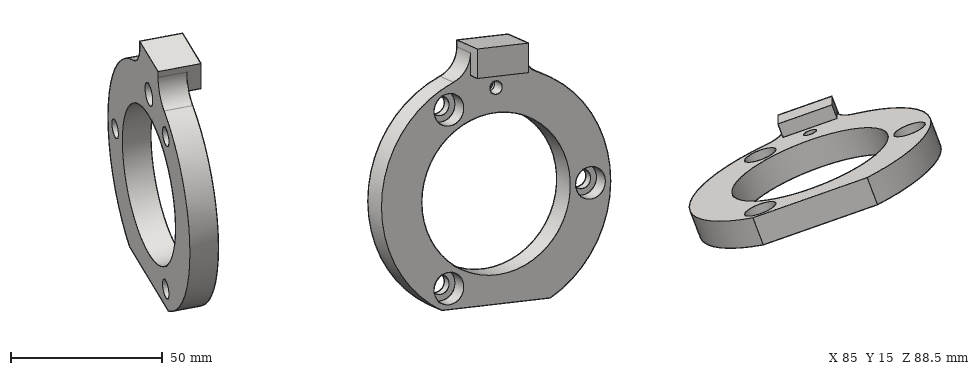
import cadquery as cq
import math

thickness = 10.0
outer_radius = 42.5
bore_diameter = 55.0
flat_z = -37.4

total_height = 88.5
tab_top_z = flat_z + total_height
tab_width = 19.0
lip_height = 10.0
tab_depth = 15.0
fillet_radius = 10.0

mount_hole_diameter = 6.6
mount_recess_diameter = 11.0
mount_recess_depth = 6.5
mount_circle_radius = 35.0
mount_angles = (60, 180, 300)
screw_hole_diameter = 4.5
screw_head_diameter = 8.0
screw_head_depth = 4.5
screw_z = 35.9

half_tab = tab_width / 2
blend_x = half_tab + fillet_radius
center_distance = outer_radius + fillet_radius
blend_z = math.sqrt(center_distance**2 - blend_x**2)
rim_x = blend_x * outer_radius / center_distance
rim_z = blend_z * outer_radius / center_distance
blend_mid_angle = (2 * math.pi + math.atan2(blend_z, blend_x)) / 2
blend_mid_x = blend_x + fillet_radius * math.cos(blend_mid_angle)
blend_mid_z = blend_z + fillet_radius * math.sin(blend_mid_angle)
flat_half_width = math.sqrt(outer_radius**2 - flat_z**2)


def front_plane():
    """XZ sketch plane; negative extrusion distances run toward +Y."""
    return cq.Workplane("XZ")


def cylinder(x, z, diameter, depth, start_y=0.0):
    """Cutting cylinder running toward the back from the plane Y = start_y."""
    return front_plane().center(x, z).circle(diameter / 2).extrude(-depth).translate((0, start_y, 0))


plate = (
    front_plane()
    .moveTo(-flat_half_width, flat_z)
    .lineTo(flat_half_width, flat_z)
    .threePointArc((outer_radius, 0), (rim_x, rim_z))
    .threePointArc((blend_mid_x, blend_mid_z), (half_tab, blend_z))
    .lineTo(half_tab, tab_top_z)
    .lineTo(-half_tab, tab_top_z)
    .lineTo(-half_tab, blend_z)
    .threePointArc((-blend_mid_x, blend_mid_z), (-rim_x, rim_z))
    .threePointArc((-outer_radius, 0), (-flat_half_width, flat_z))
    .close()
    .extrude(-thickness)
)

lip = cq.Workplane("XY").box(tab_width, tab_depth, lip_height, centered=(True, False, False))
lip = lip.translate((0, 0, tab_top_z - lip_height))

result = plate.union(lip).cut(cylinder(0, 0, bore_diameter, thickness))

for angle in mount_angles:
    hole_x = mount_circle_radius * math.cos(math.radians(angle))
    hole_z = mount_circle_radius * math.sin(math.radians(angle))
    result = result.cut(cylinder(hole_x, hole_z, mount_hole_diameter, thickness))
    recess_floor_y = thickness - mount_recess_depth
    result = result.cut(cylinder(hole_x, hole_z, mount_recess_diameter, mount_recess_depth, recess_floor_y))

result = result.cut(cylinder(0, screw_z, screw_hole_diameter, thickness))
result = result.cut(cylinder(0, screw_z, screw_head_diameter, screw_head_depth))